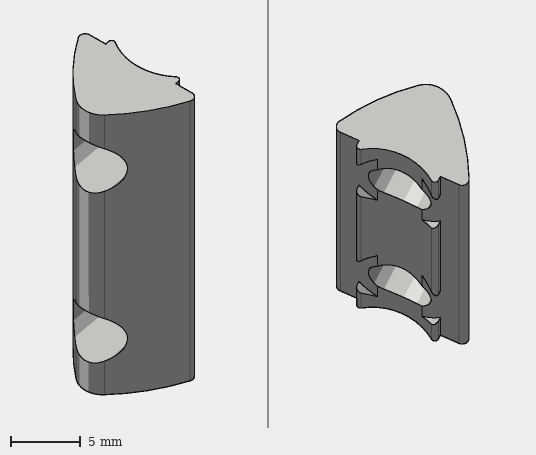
import cadquery as cq
import math

length = 28.0
half_width = 10.5 / 2

shoulder_y = 6.27
corner_radius = 0.5
corner_angle = math.radians(30)
nose_radius = 1.95
nose_half_width = 1.32
flank_mid = (4.1, 3.67)

groove_floor_y = 5.95
groove_radius = 4.85
lip_half_width = 3.25
lip_radius = 0.28

hole_diameter = 5.0
hole_spacing = 17.0
counterbore_diameter = 8.0


def on_circle(center, radius, angle):
    return (center[0] + radius * math.cos(angle), center[1] + radius * math.sin(angle))


def mirrored(point):
    return (-point[0], point[1])


corner_center = (half_width - corner_radius, shoulder_y - corner_radius)
corner_top = (corner_center[0], shoulder_y)
corner_mid = on_circle(corner_center, corner_radius, math.radians(30))
corner_end = on_circle(corner_center, corner_radius, -corner_angle)
nose_end = (nose_half_width, nose_radius - math.sqrt(nose_radius**2 - nose_half_width**2))

groove_center = (0, groove_floor_y + groove_radius)
lip_x = lip_half_width - lip_radius
lip_drop = math.sqrt((groove_radius + lip_radius) ** 2 - lip_x**2)
lip_center = (lip_x, groove_center[1] - lip_drop)
lip_inner_angle = math.atan2(lip_drop, -lip_x)
lip_outer = (lip_half_width, lip_center[1])
lip_mid = on_circle(lip_center, lip_radius, lip_inner_angle / 2)
lip_inner = on_circle(lip_center, lip_radius, lip_inner_angle)

body = (
    cq.Workplane("XY")
    .workplane(offset=-length / 2)
    .moveTo(*mirrored(nose_end))
    .threePointArc((0, 0), nose_end)
    .threePointArc(flank_mid, corner_end)
    .threePointArc(corner_mid, corner_top)
    .lineTo(lip_half_width, shoulder_y)
    .lineTo(*lip_outer)
    .threePointArc(lip_mid, lip_inner)
    .threePointArc((0, groove_floor_y), mirrored(lip_inner))
    .threePointArc(mirrored(lip_mid), mirrored(lip_outer))
    .lineTo(-lip_half_width, shoulder_y)
    .lineTo(*mirrored(corner_top))
    .threePointArc(mirrored(corner_mid), mirrored(corner_end))
    .threePointArc(mirrored(flank_mid), mirrored(nose_end))
    .close()
    .extrude(length)
)


def cross_cut(diameter, start_y, z):
    """Cylinder along +Y from start_y, long enough to leave through the back."""
    cut_length = 2 * shoulder_y
    return cq.Workplane(
        cq.Solid.makeCylinder(diameter / 2, cut_length, cq.Vector(0, start_y, z), cq.Vector(0, 1, 0))
    )


result = body
for hole_z in (-hole_spacing / 2, hole_spacing / 2):
    result = result.cut(cross_cut(hole_diameter, -nose_radius, hole_z))
    result = result.cut(cross_cut(counterbore_diameter, shoulder_y, hole_z))